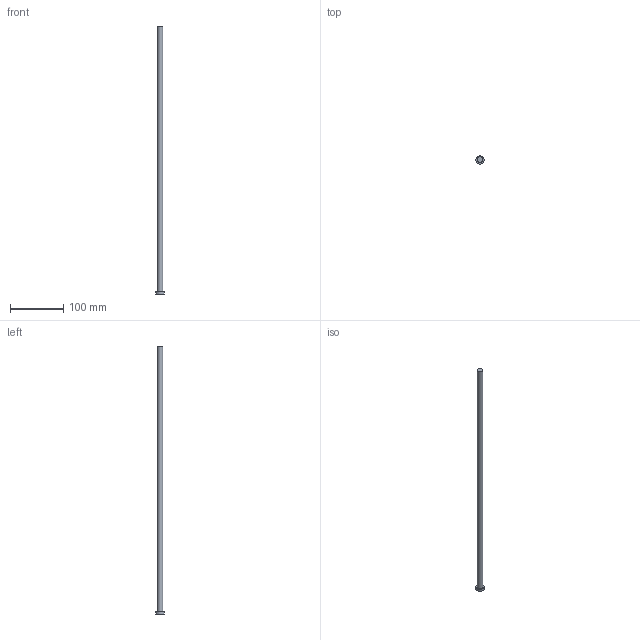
import cadquery as cq

total_length = 505.0
head_diameter = 16.0
head_height = 5.0
shank_diameter = 10.5
shank_length = total_length - head_height


def make_head():
    """Flat disc with its underside on Z = 0."""
    return cq.Workplane("XY").circle(head_diameter / 2).extrude(head_height)


def make_shank():
    """Plain round rod rising from the top of the head."""
    return (
        cq.Workplane("XY")
        .workplane(offset=head_height)
        .circle(shank_diameter / 2)
        .extrude(shank_length)
    )


result = make_head().union(make_shank())